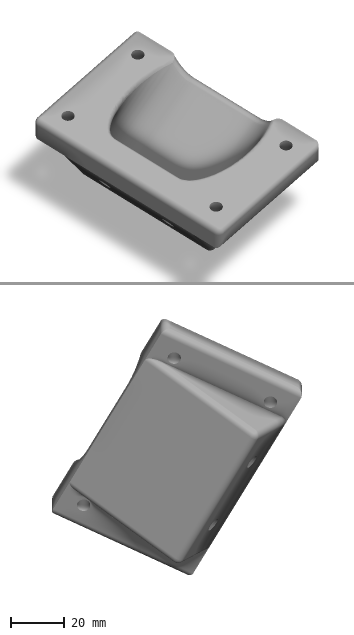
import cadquery as cq
import math

plate_width = 91.57
plate_depth = 59.82
plate_thickness = 10.0
edge_radius = 2.5

wedge_width = 65.0
wedge_side_margin = 13.0
front_face_angle = 60.0
underside_angle = 25.0

recess_radius = 11.5
recess_centre_spacing = 31.0
end_wall_thickness = 3.0

screw_hole_diameter = 5.0
screw_hole_inset = 9.4
wall_hole_diameter = 5.5

half_depth = plate_depth / 2

wedge_centre_x = -plate_width / 2 + wedge_side_margin + wedge_width / 2

front_tangent = math.tan(math.radians(front_face_angle))
underside_tangent = math.tan(math.radians(underside_angle))
wedge_height = plate_depth / (1 / front_tangent + 1 / underside_tangent)
toe_y = -half_depth + wedge_height / front_tangent
toe_z = -plate_thickness - wedge_height

recess_half_width = recess_centre_spacing / 2 + recess_radius

through_length = 2 * plate_depth

tolerance = 0.001


def make_plate():
    """Plate with rounded corners, side edges and top front edge; the back edges stay sharp."""
    block = cq.Workplane("XY").box(
        plate_width, plate_depth, plate_thickness, centered=(True, True, False)
    ).translate((0, 0, -plate_thickness))
    return block.edges("|Z or |Y or (|X and <Y and >Z)").fillet(edge_radius)


def make_wedge():
    """Triangular prism whose underside, front and side edges are rounded."""
    prism = (
        cq.Workplane("YZ")
        .polyline([(-half_depth, -plate_thickness), (half_depth, -plate_thickness), (toe_y, toe_z)])
        .close()
        .extrude(wedge_width / 2, both=True)
    )
    prism = prism.translate((wedge_centre_x, 0, 0))
    return prism.edges().filter(
        lambda edge: edge.Center().z < -plate_thickness - tolerance
    ).fillet(edge_radius)


def front_face_plane():
    """Plane at the middle of the wedge's front face, with its normal pointing into the part."""
    tilt = math.radians(90 - front_face_angle)
    return cq.Plane(
        origin=(wedge_centre_x, (toe_y - half_depth) / 2, (toe_z - plate_thickness) / 2),
        xDir=(1, 0, 0),
        normal=(0, math.cos(tilt), math.sin(tilt)),
    )


def make_recess():
    """Stadium-section cutter running from the end wall out through the top and back."""
    return (
        cq.Workplane(front_face_plane())
        .workplane(offset=end_wall_thickness)
        .slot2D(recess_centre_spacing + 2 * recess_radius, 2 * recess_radius)
        .extrude(through_length)
    )


def make_wall_holes():
    """Two holes through the end wall, in line with the recess round ends."""
    half_spacing = recess_centre_spacing / 2
    return (
        cq.Workplane(front_face_plane())
        .pushPoints([(-half_spacing, 0), (half_spacing, 0)])
        .circle(wall_hole_diameter / 2)
        .extrude(2 * end_wall_thickness)
    )


def on_recess_rim(edge):
    """True for the recess edges lying on the top face or on the back face."""
    box = edge.BoundingBox()
    widest_x = max(abs(box.xmin - wedge_centre_x), abs(box.xmax - wedge_centre_x))
    within_recess = widest_x < recess_half_width + tolerance
    on_top_face = box.zmin > -tolerance
    on_back_face = box.ymin > half_depth - tolerance and box.zmin > -plate_thickness + tolerance
    return within_recess and (on_top_face or on_back_face)


def make_screw_holes():
    """Four vertical holes through the corners of the plate."""
    return (
        cq.Workplane("XY")
        .rect(plate_width - 2 * screw_hole_inset, plate_depth - 2 * screw_hole_inset, forConstruction=True)
        .vertices()
        .circle(screw_hole_diameter / 2)
        .extrude(-plate_thickness)
    )


body = make_plate().union(make_wedge()).cut(make_recess())
body = body.edges().filter(on_recess_rim).fillet(edge_radius)
result = body.cut(make_screw_holes()).cut(make_wall_holes())